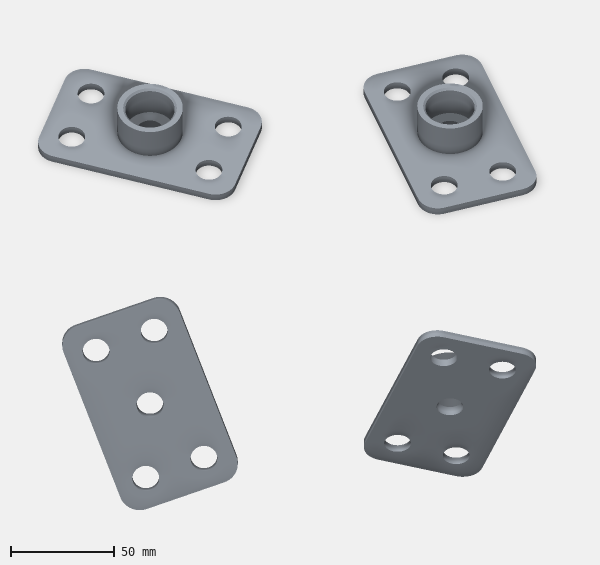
import cadquery as cq

plate_length = 100.0
plate_width = 60.0
plate_thickness = 4.0
corner_radius = 10.0

hole_diameter = 13.0
hole_spacing_x = 70.0
hole_spacing_y = 30.0

total_height = 21.0
socket_outer_diameter = 31.8
socket_bore_diameter = 24.0
socket_floor_height = 5.0
rim_chamfer = 1.0


def make_plate():
    """Rounded plate resting on Z = 0, with its four mounting holes."""
    return (
        cq.Workplane("XY")
        .box(plate_length, plate_width, plate_thickness, centered=(True, True, False))
        .edges("|Z")
        .fillet(corner_radius)
        .faces(">Z")
        .workplane()
        .rect(hole_spacing_x, hole_spacing_y, forConstruction=True)
        .vertices()
        .hole(hole_diameter)
    )


def make_socket():
    """Solid boss standing on the plate."""
    return (
        cq.Workplane("XY")
        .workplane(offset=plate_thickness)
        .circle(socket_outer_diameter / 2)
        .extrude(total_height - plate_thickness)
    )


def make_bore():
    """Stepped cavity: through hole, blind bore and chamfered mouth, revolved about Z."""
    floor_hole_radius = hole_diameter / 2
    bore_radius = socket_bore_diameter / 2
    return (
        cq.Workplane("XZ")
        .moveTo(0, 0)
        .lineTo(floor_hole_radius, 0)
        .lineTo(floor_hole_radius, socket_floor_height)
        .lineTo(bore_radius, socket_floor_height)
        .lineTo(bore_radius, total_height - rim_chamfer)
        .lineTo(bore_radius + rim_chamfer, total_height)
        .lineTo(0, total_height)
        .close()
        .revolve(360, (0, 0), (0, 1))
    )


result = make_plate().union(make_socket()).cut(make_bore())